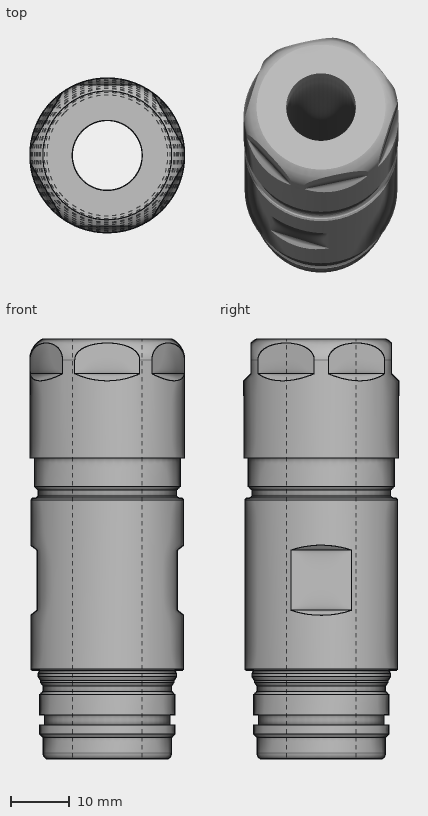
import cadquery as cq
import math

TOTAL_HEIGHT = 71.8
BORE_RADIUS = 5.95

NUT_RADIUS = 13.25
NUT_BOTTOM = 51.4
CROWN_HEIGHT = 3.6
CROWN_INSET = 2.2
NUT_FLAT_COUNT = 6
NUT_FLAT_DISTANCE = 12.03
NUT_FLAT_BOTTOM = 65.85

COLLAR_RADIUS = 12.5
COLLAR_BOTTOM = 46.6
NECK_RADIUS = 11.85
NECK_BOTTOM = 44.95
NECK_FLARE = 0.35

BARREL_RADIUS = 13.1
BARREL_TOP = 44.3
BARREL_BOTTOM = 15.4
BARREL_TOP_CHAMFER = 0.3
BARREL_BOTTOM_CHAMFER = 0.2
WRENCH_FLAT_DISTANCE = 12.0
WRENCH_FLAT_BOTTOM = 25.4
WRENCH_FLAT_TOP = 35.7
WRENCH_RAMP_HEIGHT = 0.85

RING_RADIUS = 11.85
RING_ROOT_RADIUS = 11.55
RING_WIDE_TOP = 14.6
RING_WIDE_BOTTOM = 14.1
LEDGE_RADIUS = 11.4
LEDGE_TOP = 13.4
LEDGE_BOTTOM = 13.1

PLUG_RADIUS = 11.55
PLUG_TOP = 11.0
PLUG_BOTTOM = 4.25
TIP_RADIUS = 11.0
RELIEF_TOP = 12.5
GROOVE_RADIUS = 10.8
GROOVE_TOP = 7.55
GROOVE_BOTTOM = 5.8
TIP_ROUND_HEIGHT = 1.0
TIP_ROUND_INSET = 0.65

CUT_MARGIN = 0.7


def shoulder_arc_midpoint(radius, z, inset, height):
    """Midpoint of an arc tangent to a cylinder at z and moving inward by inset over a signed height."""
    arc_radius = (inset**2 + height**2) / (2 * inset)
    half_angle = math.asin(abs(height) / arc_radius) / 2
    rise = math.copysign(arc_radius * math.sin(half_angle), height)
    return (radius - arc_radius * (1 - math.cos(half_angle)), z + rise)


def revolve_profile(profile):
    return profile.close().revolve(360, (0, 0, 0), (0, 1, 0))


def flat_cutter(distance, outer_radius, end_profile):
    """Cutter for a flat facing +X; end_profile lists its (x, z) corners."""
    width = 2 * math.sqrt(outer_radius**2 - distance**2) + 2 * CUT_MARGIN
    return cq.Workplane("XZ").polyline(end_profile).close().extrude(width / 2, both=True)


def make_nut():
    crown_start = TOTAL_HEIGHT - CROWN_HEIGHT
    crown_mid = shoulder_arc_midpoint(NUT_RADIUS, crown_start, CROWN_INSET, CROWN_HEIGHT)
    nut = revolve_profile(
        cq.Workplane("XZ")
        .moveTo(BORE_RADIUS, NUT_BOTTOM)
        .lineTo(NUT_RADIUS, NUT_BOTTOM)
        .lineTo(NUT_RADIUS, crown_start)
        .threePointArc(crown_mid, (NUT_RADIUS - CROWN_INSET, TOTAL_HEIGHT))
        .lineTo(BORE_RADIUS, TOTAL_HEIGHT)
    )
    outer = NUT_RADIUS + CUT_MARGIN
    cutter = flat_cutter(NUT_FLAT_DISTANCE, NUT_RADIUS, [
        (NUT_FLAT_DISTANCE, TOTAL_HEIGHT + CUT_MARGIN),
        (NUT_FLAT_DISTANCE, NUT_FLAT_BOTTOM),
        (outer, NUT_FLAT_BOTTOM - (outer - NUT_FLAT_DISTANCE)),
        (outer, TOTAL_HEIGHT + CUT_MARGIN),
    ])
    pitch = 360 / NUT_FLAT_COUNT
    for index in range(NUT_FLAT_COUNT):
        angle = pitch * (index + 0.5)
        nut = nut.cut(cutter.rotate((0, 0, 0), (0, 0, 1), angle))
    return nut


def make_housing():
    barrel_top_face = BARREL_TOP + BARREL_TOP_CHAMFER
    barrel_bottom_face = BARREL_BOTTOM - BARREL_BOTTOM_CHAMFER
    tip_mid = shoulder_arc_midpoint(TIP_RADIUS, TIP_ROUND_HEIGHT, TIP_ROUND_INSET, -TIP_ROUND_HEIGHT)
    housing = revolve_profile(
        cq.Workplane("XZ")
        .moveTo(BORE_RADIUS, NUT_BOTTOM)
        .lineTo(COLLAR_RADIUS, NUT_BOTTOM)
        .lineTo(COLLAR_RADIUS, COLLAR_BOTTOM)
        .lineTo(NECK_RADIUS, COLLAR_BOTTOM - (COLLAR_RADIUS - NECK_RADIUS))
        .lineTo(NECK_RADIUS, NECK_BOTTOM)
        .lineTo(NECK_RADIUS + NECK_FLARE, barrel_top_face)
        .lineTo(BARREL_RADIUS - BARREL_TOP_CHAMFER, barrel_top_face)
        .lineTo(BARREL_RADIUS, BARREL_TOP)
        .lineTo(BARREL_RADIUS, BARREL_BOTTOM)
        .lineTo(BARREL_RADIUS - BARREL_BOTTOM_CHAMFER, barrel_bottom_face)
        .lineTo(RING_ROOT_RADIUS, barrel_bottom_face)
        .lineTo(RING_RADIUS, RING_WIDE_TOP)
        .lineTo(RING_RADIUS, RING_WIDE_BOTTOM)
        .lineTo(LEDGE_RADIUS, LEDGE_TOP)
        .lineTo(LEDGE_RADIUS, LEDGE_BOTTOM)
        .lineTo(TIP_RADIUS, RELIEF_TOP)
        .lineTo(TIP_RADIUS, PLUG_TOP + (PLUG_RADIUS - TIP_RADIUS))
        .lineTo(PLUG_RADIUS, PLUG_TOP)
        .lineTo(PLUG_RADIUS, GROOVE_TOP)
        .lineTo(GROOVE_RADIUS, GROOVE_TOP)
        .lineTo(GROOVE_RADIUS, GROOVE_BOTTOM)
        .lineTo(PLUG_RADIUS, GROOVE_BOTTOM)
        .lineTo(PLUG_RADIUS, PLUG_BOTTOM)
        .lineTo(TIP_RADIUS, PLUG_BOTTOM - (PLUG_RADIUS - TIP_RADIUS))
        .lineTo(TIP_RADIUS, TIP_ROUND_HEIGHT)
        .threePointArc(tip_mid, (TIP_RADIUS - TIP_ROUND_INSET, 0))
        .lineTo(BORE_RADIUS, 0)
    )
    outer = BARREL_RADIUS + CUT_MARGIN
    ramp_slope = WRENCH_RAMP_HEIGHT / (BARREL_RADIUS - WRENCH_FLAT_DISTANCE)
    ramp_reach = (outer - WRENCH_FLAT_DISTANCE) * ramp_slope
    cutter = flat_cutter(WRENCH_FLAT_DISTANCE, BARREL_RADIUS, [
        (WRENCH_FLAT_DISTANCE, WRENCH_FLAT_BOTTOM),
        (WRENCH_FLAT_DISTANCE, WRENCH_FLAT_TOP),
        (outer, WRENCH_FLAT_TOP + ramp_reach),
        (outer, WRENCH_FLAT_BOTTOM - ramp_reach),
    ])
    for angle in (0, 180):
        housing = housing.cut(cutter.rotate((0, 0, 0), (0, 0, 1), angle))
    return housing


nut = make_nut()
housing = make_housing()
result = cq.Compound.makeCompound([nut.solids().val(), housing.solids().val()])